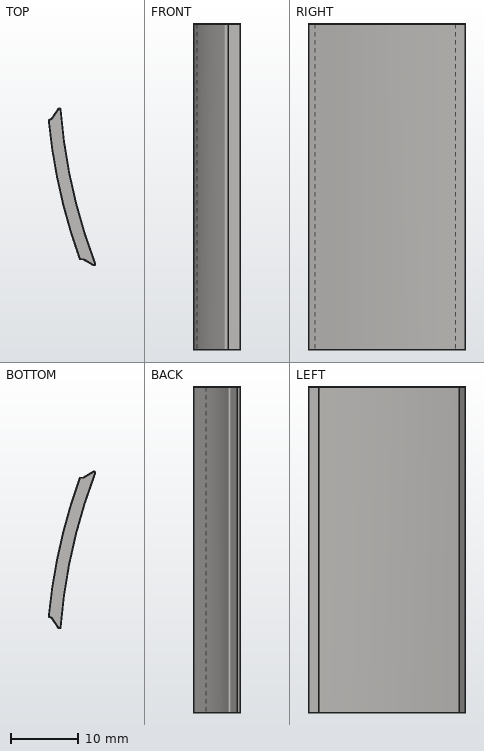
import cadquery as cq
import math

LENGTH = 48.4
OUTER_RADIUS = 84.0
THICKNESS = 1.92
INNER_RADIUS = OUTER_RADIUS - THICKNESS
TILT_ANGLE = 12.65

OUTER_HALF_WIDTH = 10.58
SHOULDER_HALF_WIDTH = 10.7
SHOULDER_DEPTH = 0.5
TIP_HALF_WIDTH = 12.27
CORNER_FILLET = 0.2
TIP_FILLET = 0.2


def face_point(radius, half_width):
    """Point on a cylinder face at a given distance from the strip's middle plane."""
    return (-math.sqrt(radius**2 - half_width**2), half_width)


def mirrored(point):
    """The matching point on the other side of the strip's middle plane."""
    return (point[0], -point[1])


OUTER_CORNER = face_point(OUTER_RADIUS, OUTER_HALF_WIDTH)
SHOULDER = (OUTER_CORNER[0] + SHOULDER_DEPTH, SHOULDER_HALF_WIDTH)
TIP = face_point(INNER_RADIUS, TIP_HALF_WIDTH)


def make_strip():
    """Extrude the cross-section, which is symmetric about the X axis."""
    return (
        cq.Workplane("XY")
        .moveTo(*OUTER_CORNER)
        .threePointArc((-OUTER_RADIUS, 0), mirrored(OUTER_CORNER))
        .lineTo(*mirrored(SHOULDER))
        .lineTo(*mirrored(TIP))
        .threePointArc((-INNER_RADIUS, 0), TIP)
        .lineTo(*SHOULDER)
        .close()
        .extrude(LENGTH)
    )


def round_long_edges(strip, point, radius):
    """Fillet the pair of Z edges through a section point and its mirror image."""
    for x, y in (point, mirrored(point)):
        edge = cq.selectors.NearestToPointSelector((x, y, LENGTH / 2))
        strip = strip.edges(edge).fillet(radius)
    return strip


strip = make_strip()
strip = round_long_edges(strip, OUTER_CORNER, CORNER_FILLET)
strip = round_long_edges(strip, TIP, TIP_FILLET)
result = strip.rotate((0, 0, 0), (0, 0, 1), TILT_ANGLE)